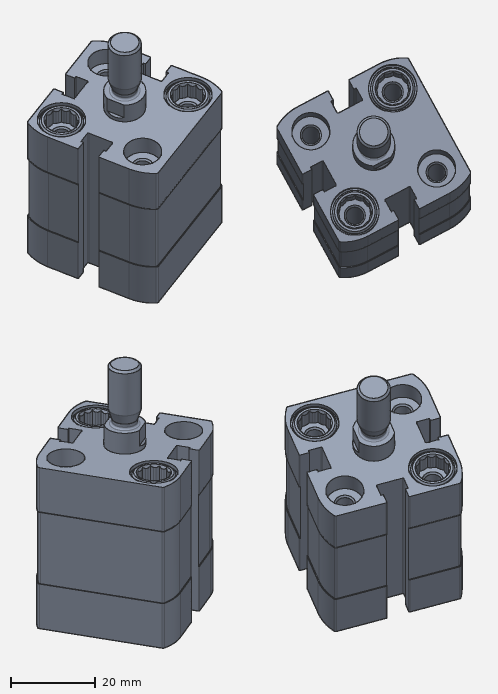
import cadquery as cq
import math

cap_width = 35.5
cap_height = 12.0
housing_height = 43.25
barrel_inset = 0.25
crown_start = 11.0
crown_radius = 12.2
corner_radius = 0.65

slot_mouth_width = 5.5
slot_inner_width = 6.8
slot_lip_thickness = 2.6
slot_depth = 5.9
slot_mouth_radius = 0.2
slot_floor_radius = 0.25
slot_angles = (90, 180, 270)

hole_offset = 11.0
hole_diameter = 4.15
hole_mouth_diameter = 5.0
counterbore_diameter = 9.0
counterbore_depth = 4.75
open_corners = ((-1, 1), (1, -1))
collared_corners = ((1, 1), (-1, -1))

collar_recess_diameter = 11.5
collar_recess_depth = 1.0
collar_base_diameter = 10.5
collar_chamfer = 0.45
collar_drop = 0.1
socket_points = 12
socket_point_diameter = 8.05
socket_land_angle = 10.0
socket_bore_diameter = 7.5
socket_mouth_diameter = 8.35
socket_mouth_depth = 0.7

total_height = 64.85
rod_collar_diameter = 10.0
rod_collar_height = 5.6
wrench_flat_width = 8.9
wrench_flat_height = 4.1
wrench_ledge_drop = 0.45
neck_diameter = 6.1
neck_height = 1.4
neck_shoulder_width = 0.1
neck_root_radius = 0.6
thread_diameter = 7.9
thread_start_height = 4.15
thread_chamfer = 0.6


def crowned_block(width, bottom, height):
    """Square block whose +Y and -Y faces fall away in arcs towards the corners."""
    half = width / 2
    radius = crown_radius - (cap_width - width) / 2
    center_y = half - radius
    run = half - crown_start
    edge_y = center_y + math.sqrt(radius**2 - run**2)
    mid_angle = math.asin(run / radius) / 2
    mid_x = crown_start + radius * math.sin(mid_angle)
    mid_y = center_y + radius * math.cos(mid_angle)
    return (
        cq.Workplane("XY", origin=(0, 0, bottom))
        .moveTo(-crown_start, half)
        .lineTo(crown_start, half)
        .threePointArc((mid_x, mid_y), (half, edge_y))
        .lineTo(half, -edge_y)
        .threePointArc((mid_x, -mid_y), (crown_start, -half))
        .lineTo(-crown_start, -half)
        .threePointArc((-mid_x, -mid_y), (-half, -edge_y))
        .lineTo(-half, edge_y)
        .threePointArc((-mid_x, mid_y), (-crown_start, half))
        .close()
        .extrude(height)
        .edges("|Z and (>X or <X)")
        .fillet(corner_radius)
    )


def slot_cutter(bottom, height, mouth_radius=0.0):
    """T-slot opening towards +X, with an optional rounded mouth at the cap face."""
    face = cap_width / 2
    floor = face - slot_depth
    lip = face - slot_lip_thickness
    half_mouth = slot_mouth_width / 2
    plane = cq.Workplane("XY", origin=(0, 0, bottom))
    inner = (
        plane.center((floor + lip) / 2, 0)
        .rect(lip - floor, slot_inner_width)
        .extrude(height)
        .edges("|Z and <X")
        .fillet(slot_floor_radius)
    )
    mouth = plane.center((lip + face) / 2, 0).rect(face - lip, slot_mouth_width).extrude(height)
    cutter = inner.union(mouth)
    if mouth_radius > 0:
        arc_setback = mouth_radius * (1 - math.sqrt(0.5))
        arc_x = face - arc_setback
        arc_y = half_mouth + arc_setback
        edge_y = half_mouth + mouth_radius
        for side in (1, -1):
            rounding = (
                plane.moveTo(face - mouth_radius, side * half_mouth)
                .threePointArc((arc_x, side * arc_y), (face, side * edge_y))
                .lineTo(face, side * half_mouth)
                .close()
                .extrude(height)
            )
            cutter = cutter.union(rounding)
    return cutter


def slotted_section(width, bottom, height, mouth_radius=0.0):
    section = crowned_block(width, bottom, height)
    cutter = slot_cutter(bottom, height, mouth_radius)
    for angle in slot_angles:
        section = section.cut(cutter.rotate((0, 0, 0), (0, 0, 1), angle))
    return section


def stepped_hole():
    """Through hole on the Z axis with a chamfered mouth at the counterbore floor."""
    floor = housing_height - counterbore_depth
    hole_radius = hole_diameter / 2
    mouth_radius = hole_mouth_diameter / 2
    return (
        cq.Workplane("XZ")
        .polyline([
            (0, 0),
            (hole_radius, 0),
            (hole_radius, floor - (mouth_radius - hole_radius)),
            (mouth_radius, floor),
            (0, floor),
        ])
        .close()
        .revolve(360, (0, 0), (0, 1))
    )


def open_counterbore():
    floor = housing_height - counterbore_depth
    plane = cq.Workplane("XY", origin=(0, 0, floor))
    return plane.circle(counterbore_diameter / 2).extrude(counterbore_depth)


def collar_recess():
    """Ring-shaped recess around the chamfered collar."""
    recess_floor = housing_height - collar_recess_depth
    base_radius = collar_base_diameter / 2
    collar_top = housing_height - collar_drop
    return (
        cq.Workplane("XZ")
        .polyline([
            (0, collar_top),
            (base_radius - collar_chamfer, collar_top),
            (base_radius, collar_top - collar_chamfer),
            (base_radius, recess_floor),
            (collar_recess_diameter / 2, recess_floor),
            (collar_recess_diameter / 2, housing_height),
            (0, housing_height),
        ])
        .close()
        .revolve(360, (0, 0), (0, 1))
    )


def polar_point(radius, degrees):
    angle = math.radians(degrees)
    return (radius * math.cos(angle), radius * math.sin(angle))


def twelve_point_socket():
    """Round bore with twelve pointed notches, opening in a conical mouth."""
    floor = housing_height - counterbore_depth
    collar_top = housing_height - collar_drop
    depth = collar_top - floor
    pitch = 360 / socket_points
    half_notch = (pitch - socket_land_angle) / 2
    bore_radius = socket_bore_diameter / 2
    outline = []
    for point in range(socket_points):
        angle = point * pitch
        outline.append(polar_point(bore_radius, angle - half_notch))
        outline.append(polar_point(socket_point_diameter / 2, angle))
        outline.append(polar_point(bore_radius, angle + half_notch))
    plane = cq.Workplane("XY", origin=(0, 0, floor))
    notches = plane.polyline(outline).close().extrude(depth)
    bore = plane.circle(bore_radius).extrude(depth)
    mouth = (
        cq.Workplane("XZ")
        .polyline([
            (0, collar_top - socket_mouth_depth),
            (bore_radius, collar_top - socket_mouth_depth),
            (socket_mouth_diameter / 2, collar_top),
            (0, collar_top),
        ])
        .close()
        .revolve(360, (0, 0), (0, 1))
    )
    return notches.union(bore).union(mouth)


def make_housing():
    barrel_height = housing_height - 2 * cap_height
    body = slotted_section(cap_width, 0, cap_height, slot_mouth_radius)
    body = body.union(slotted_section(cap_width - 2 * barrel_inset, cap_height, barrel_height))
    body = body.union(slotted_section(cap_width, cap_height + barrel_height, cap_height, slot_mouth_radius))

    open_hole = stepped_hole().union(open_counterbore())
    for x_side, y_side in open_corners:
        body = body.cut(open_hole.translate((x_side * hole_offset, y_side * hole_offset, 0)))

    collared_hole = stepped_hole().union(twelve_point_socket()).union(collar_recess())
    for x_side, y_side in collared_corners:
        body = body.cut(collared_hole.translate((x_side * hole_offset, y_side * hole_offset, 0)))
    return body


def make_rod():
    """Turned rod standing on the housing, with two wrench flats facing +Y and -Y."""
    collar_radius = rod_collar_diameter / 2
    neck_radius = neck_diameter / 2
    thread_radius = thread_diameter / 2
    collar_top = housing_height + rod_collar_height
    root_mid = neck_root_radius * (1 - math.sqrt(0.5))
    rod = (
        cq.Workplane("XZ")
        .moveTo(0, housing_height)
        .lineTo(collar_radius, housing_height)
        .lineTo(collar_radius, collar_top)
        .lineTo(neck_radius + neck_root_radius, collar_top)
        .threePointArc(
            (neck_radius + root_mid, collar_top + root_mid),
            (neck_radius, collar_top + neck_root_radius),
        )
        .lineTo(neck_radius, collar_top + neck_height)
        .lineTo(neck_radius + neck_shoulder_width, collar_top + neck_height + neck_shoulder_width)
        .lineTo(thread_radius, collar_top + thread_start_height)
        .lineTo(thread_radius, total_height - thread_chamfer)
        .lineTo(thread_radius - thread_chamfer, total_height)
        .lineTo(0, total_height)
        .close()
        .revolve(360, (0, 0), (0, 1))
    )
    flat_y = wrench_flat_width / 2
    flat_bottom = collar_top - wrench_flat_height
    flat_cutter = (
        cq.Workplane("YZ", origin=(-collar_radius, 0, 0))
        .polyline([
            (flat_y, collar_top),
            (flat_y, flat_bottom),
            (collar_radius, flat_bottom - wrench_ledge_drop),
            (collar_radius, collar_top),
        ])
        .close()
        .extrude(rod_collar_diameter)
    )
    return rod.cut(flat_cutter).cut(flat_cutter.mirror("XZ"))


housing = make_housing()
rod = make_rod()

result = cq.Compound.makeCompound([housing.val(), rod.val()])